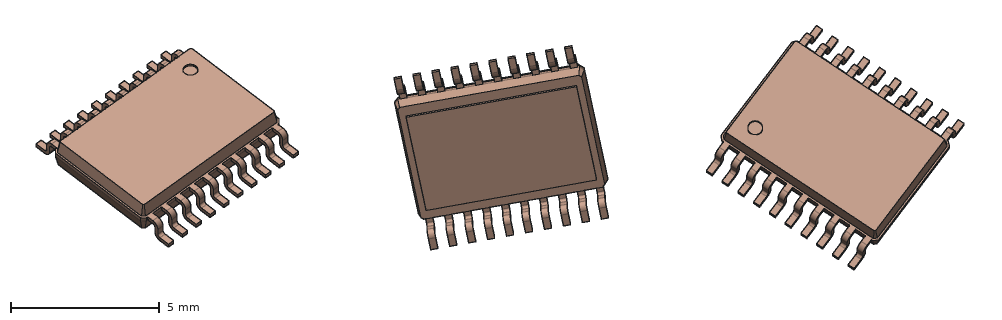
import cadquery as cq
import math

package_length = 6.5
lead_span = 6.4
package_height = 1.2

band_width = 4.395
band_corner_chamfer = 0.135
body_bottom_height = 0.11
upper_base_inset = 0.07
upper_top_inset = 0.17
lower_bottom_inset = 0.1

pad_width = 3.5
pad_length = 5.85
pad_overlap = 0.065

leads_per_side = 10
lead_pitch = 0.65
lead_width = 0.25
lead_thickness = 0.15
lead_top_height = 0.73
shoulder_reach = 2.69
inner_bend_radius = 0.1
lead_overlap = 0.26

mark_diameter = 0.5
mark_depth = 0.08
mark_x = -1.32
mark_y = 2.365

outer_bend_radius = inner_bend_radius + lead_thickness
band_top_height = lead_top_height
band_bottom_height = lead_top_height - lead_thickness


def body_outline(inset):
    """Chamfered band rectangle with every side, corners included, moved inward by inset."""
    width = band_width - 2 * inset
    length = package_length - 2 * inset
    chamfer = band_corner_chamfer - inset * (2 - math.sqrt(2))
    return cq.Sketch().rect(width, length).vertices().chamfer(chamfer)


def body_layer(start_height, start_outline, end_height, end_outline):
    """Straight-sided solid joining two horizontal outlines."""
    rise = end_height - start_height
    start_plane = cq.Workplane("XY").workplane(offset=start_height)
    end_location = cq.Location(cq.Vector(0, 0, rise))
    return start_plane.placeSketch(start_outline, end_outline.moved(end_location)).loft(ruled=True)


def make_body():
    band_outline = body_outline(0)
    lower_outline = body_outline(lower_bottom_inset)
    upper_base_outline = body_outline(upper_base_inset)
    upper_top_outline = body_outline(upper_top_inset)

    lower = body_layer(body_bottom_height, lower_outline, band_bottom_height, band_outline)
    band = body_layer(band_bottom_height, band_outline, band_top_height, band_outline)
    upper = body_layer(band_top_height, upper_base_outline, package_height, upper_top_outline)
    return lower.union(band).union(upper)


def make_pad():
    pad_height = body_bottom_height + pad_overlap
    return cq.Workplane("XY").box(pad_width, pad_length, pad_height, centered=(True, True, False))


def make_lead():
    """One lead on the +X side, centred on Y = 0, extruded from its gull-wing profile."""
    root = band_width / 2 - lead_overlap
    tip = lead_span / 2
    leg_outer = shoulder_reach
    leg_inner = shoulder_reach - lead_thickness
    top_bend_x = leg_outer - outer_bend_radius
    foot_bend_x = leg_inner + outer_bend_radius
    underside = lead_top_height - lead_thickness

    profile = (
        cq.Workplane("XZ")
        .moveTo(root, lead_top_height)
        .lineTo(top_bend_x, lead_top_height)
        .radiusArc((leg_outer, lead_top_height - outer_bend_radius), outer_bend_radius)
        .lineTo(leg_outer, outer_bend_radius)
        .radiusArc((foot_bend_x, lead_thickness), -inner_bend_radius)
        .lineTo(tip, lead_thickness)
        .lineTo(tip, 0)
        .lineTo(foot_bend_x, 0)
        .radiusArc((leg_inner, outer_bend_radius), outer_bend_radius)
        .lineTo(leg_inner, underside - inner_bend_radius)
        .radiusArc((top_bend_x, underside), -inner_bend_radius)
        .lineTo(root, underside)
        .close()
    )
    return profile.extrude(lead_width / 2, both=True)


def make_pin_mark():
    """Shallow round recess in the top face beside pin 1."""
    floor = cq.Workplane("XY").workplane(offset=package_height - mark_depth)
    return floor.center(mark_x, mark_y).circle(mark_diameter / 2).extrude(mark_depth)


result = make_body().union(make_pad())

right_lead = make_lead()
left_lead = right_lead.mirror("YZ")
for index in range(leads_per_side):
    lead_y = (index - (leads_per_side - 1) / 2) * lead_pitch
    for lead in (left_lead, right_lead):
        result = result.union(lead.translate((0, lead_y, 0)))

result = result.cut(make_pin_mark())